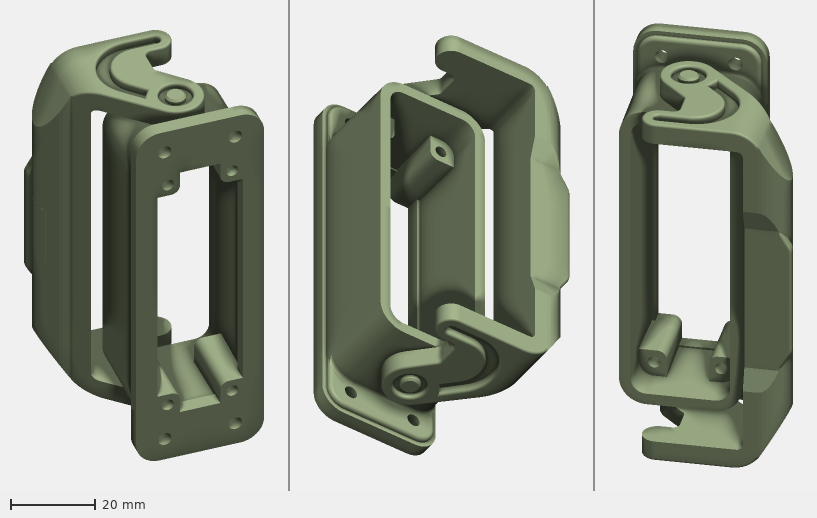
import cadquery as cq
import math


length = 98.0
back = 42.8
flange_width = 32.3
flange_thickness = 3.7
flange_corner = 6.0
step_height = 1.4
step_inset = 1.2
step_edge_round = 1.0

mouth = 16.1
mouth_half_width = 14.9
mouth_half_length = 39.7
foot_half_width = 15.1
foot_half_length = 39.9
shell_corner = 6.7
foot_round = 0.8

wall = 2.8
cavity_corner = 3.7
cavity_taper = 0.5
opening_half_width = 10.8
opening_half_length = 35.9
opening_corner = 2.0

post_front = 24.8
post_y = 8.1
post_z = 32.9
post_inner_y = 5.1
post_inner_z = 29.8
post_corner = 2.3
post_hole = 3.0

mount_hole = 3.4
mount_y = 8.9
mount_z = 42.9

pivot_x = 25.8
hinge_radius = 6.9
washer_radius = 3.7
pin_radius = 2.5
pin_chamfer = 0.5

arm_outer = 45.7
arm_inner = 40.5
arm_edge_round = 0.6
hook_radius = 3.8
hook_y = 2.9
notch_y = -1.3
notch_round = 1.6
slant = math.radians(46.5)

grip_radius = 7.0
grip_y = -22.05
grip_facets = 22
grip_inner_y = -18.4
neck_x = 14.6
bend_y = -15.6
bend_radius = 8.0
bend_inner_radius = 1.6
bevel = math.radians(31)

scoop_depth = 1.9
scoop_half_length = 18.9
scoop_end_half_length = 24.4
tab_thickness = 2.7
tab_tip_y = -29.8
tab_tip_half_length = 14.1
tab_corner = 2.9
tab_edge_round = 0.7

pad_half_length = 7.5
pad_end_x = 11.3

counterbore_radius = 4.1
counterbore_depth = 1.5
channel_depth = 2.2
channel_half_width = 1.3
channel_x = 12.7
channel_bend = 8.8
channel_outer_y = -4.6
channel_inner_y = -3.8
channel_top_y = 2.7
channel_outer_tail = 6.3
channel_inner_tail = 5.0
recess_edge_round = 0.7

diagonal = math.sqrt(0.5)
flange_front = back - flange_thickness
step_front = flange_front - step_height
pad_start_x = scoop_depth + tab_thickness
tolerance = 0.01


def rounded_plate(x_start, x_end, half_width, half_length, corner):
    """Plate between two X places with rounded corners, centred on the X axis."""
    return (
        cq.Workplane("YZ", origin=(x_start, 0, 0))
        .rect(2 * half_width, 2 * half_length)
        .extrude(x_end - x_start)
        .edges("|X")
        .fillet(corner)
    )


def tapered_block(mouth_size, foot_size, corner):
    """Rounded block from the mouth to the flange; each size is a half width and a half length."""

    def section(size, depth):
        sketch = cq.Sketch().rect(2 * size[0], 2 * size[1]).vertices().fillet(corner)
        return sketch.moved(cq.Location(cq.Vector(0, 0, depth)))

    return (
        cq.Workplane("YZ", origin=(mouth, 0, 0))
        .placeSketch(section(mouth_size, 0), section(foot_size, flange_front - mouth))
        .loft()
    )


def make_shell():
    return tapered_block(
        (mouth_half_width, mouth_half_length), (foot_half_width, foot_half_length), shell_corner
    )


def make_cavity():
    half_width = mouth_half_width - wall
    half_length = mouth_half_length - wall
    return tapered_block(
        (half_width, half_length), (half_width - cavity_taper, half_length - cavity_taper), cavity_corner
    )


def make_stepped_shell():
    """Shell on the step, with a fillet at its foot and a rounded rim on the step."""
    shell = make_shell()
    step = rounded_plate(
        step_front, flange_front,
        flange_width / 2 - step_inset, length / 2 - step_inset, flange_corner - step_inset,
    )
    reach_z = foot_half_length + tolerance
    foot_edges = cq.selectors.BoxSelector(
        (step_front - tolerance, -flange_width, -reach_z),
        (step_front + tolerance, flange_width, reach_z),
        boundingbox=True,
    )
    body = step.union(shell).edges(foot_edges).fillet(foot_round)
    rim_waste = step.cut(step.faces("<X").edges().fillet(step_edge_round)).cut(shell)
    return body.cut(rim_waste)


def four_corners(y, z):
    return [(sign_y * y, sign_z * z) for sign_y in (-1, 1) for sign_z in (-1, 1)]


def make_posts():
    """Four screw posts that fill the cavity corners and have one rounded free edge each."""
    outer_y = mouth_half_width - wall
    outer_z = mouth_half_length - wall
    reach_y = post_inner_y + tolerance
    reach_z = post_inner_z + tolerance
    free_edges = cq.selectors.BoxSelector((0, -reach_y, -reach_z), (length, reach_y, reach_z))
    return (
        cq.Workplane("YZ", origin=(post_front, 0, 0))
        .pushPoints(four_corners((post_inner_y + outer_y) / 2, (post_inner_z + outer_z) / 2))
        .rect(outer_y - post_inner_y, outer_z - post_inner_z)
        .extrude(back - post_front)
        .edges("|X")
        .edges(free_edges)
        .fillet(post_corner)
    )


def corner_holes(y, z, diameter):
    return (
        cq.Workplane("YZ", origin=(mouth, 0, 0))
        .pushPoints(four_corners(y, z))
        .circle(diameter / 2)
        .extrude(back - mouth)
    )


def make_pivot():
    """Washer face and chamfered hinge pin on the +Z end of the shell."""
    root = mouth_half_length - wall / 2
    base = cq.Workplane("XY", origin=(pivot_x, 0, root))
    washer = base.circle(washer_radius).extrude(arm_inner - root)
    pin = base.circle(pin_radius).extrude(arm_outer - root).faces(">Z").chamfer(pin_chamfer)
    return washer.union(pin)


def make_housing():
    flange = rounded_plate(flange_front, back, flange_width / 2, length / 2, flange_corner)
    opening = rounded_plate(mouth, back, opening_half_width, opening_half_length, opening_corner)
    pivot = make_pivot()
    return (
        make_stepped_shell()
        .union(flange)
        .cut(make_cavity())
        .cut(opening)
        .union(make_posts())
        .cut(corner_holes(post_y, post_z, post_hole))
        .cut(corner_holes(mount_y, mount_z, mount_hole))
        .union(pivot)
        .union(pivot.mirror("XY"))
    )


def grip_vertex(index):
    """Vertex of the faceted half circle, counted from the +X side."""
    angle = math.pi * index / grip_facets
    return (grip_radius * (1 + math.cos(angle)), grip_y - grip_radius * math.sin(angle))


def make_side_profile():
    """Outline seen along Z: hook, notch, hinge eye, slanted edge and faceted grip."""
    eye = hinge_radius * diagonal
    hook_right = 2 * hook_radius
    notch_end_x = pivot_x - 2 * eye + notch_y
    slant_x = pivot_x + hinge_radius * math.sin(slant)
    slant_y = -hinge_radius * math.cos(slant)
    notch_corners = cq.selectors.BoxSelector(
        (hook_right - tolerance, notch_y - tolerance, -length),
        (notch_end_x + tolerance, notch_y + tolerance, length),
    )
    return (
        cq.Workplane("XY", origin=(0, 0, -arm_outer))
        .moveTo(0, grip_y)
        .lineTo(0, hook_y)
        .threePointArc((hook_radius, hook_y + hook_radius), (hook_right, hook_y))
        .lineTo(hook_right, notch_y)
        .lineTo(notch_end_x, notch_y)
        .lineTo(pivot_x - eye, eye)
        .threePointArc((pivot_x + eye, eye), (slant_x, slant_y))
        .lineTo(neck_x, slant_y - (slant_x - neck_x) * math.tan(slant))
        .polyline([grip_vertex(index) for index in range(grip_facets)], includeCurrent=True)
        .close()
        .extrude(2 * arm_outer)
        .edges("|Z")
        .edges(notch_corners)
        .fillet(notch_round)
    )


def make_bail_profile():
    """Outline seen along X: two arms joined by the grip, with bent and bevelled outer corners."""

    def bend_point(angle):
        return (bend_y - bend_radius * math.cos(angle), arm_outer - bend_radius * (1 - math.sin(angle)))

    grip_bottom = grip_y - grip_radius
    bevel_start = bend_point(bevel)
    bevel_end_z = bevel_start[1] - (bevel_start[0] - grip_bottom) / math.tan(bevel)
    half = (
        cq.Workplane("YZ")
        .moveTo(hinge_radius, 0)
        .lineTo(hinge_radius, arm_outer)
        .lineTo(bend_y, arm_outer)
        .threePointArc(bend_point((math.pi / 2 + bevel) / 2), bevel_start)
        .lineTo(grip_bottom, bevel_end_z)
        .lineTo(grip_bottom, 0)
        .close()
        .extrude(back)
    )
    window = (
        cq.Workplane("YZ")
        .rect(-2 * grip_inner_y, 2 * arm_inner)
        .extrude(back)
        .edges("|X and <Y")
        .fillet(bend_inner_radius)
    )
    return half.union(half.mirror("XY")).cut(window)


def make_bail():
    """Bare lever, with the outer edges of the arms rounded as far as the grip."""
    blank = make_side_profile().intersect(make_bail_profile())
    arm_zone = (
        cq.Workplane("XY", origin=(0, grip_y, -arm_outer))
        .box(back, length, 2 * arm_outer, centered=False)
    )
    arms = blank.intersect(arm_zone)
    for side in (">Z", "<Z"):
        outline = arms.faces(side).edges("not(|X and <Y)").vals()
        arms = arms.newObject(outline).fillet(arm_edge_round)
    return arms.union(blank.cut(arm_zone))


def make_scoop():
    return (
        cq.Workplane("XZ", origin=(0, grip_inner_y, 0))
        .polyline([
            (0, -scoop_end_half_length),
            (scoop_depth, -scoop_half_length),
            (scoop_depth, scoop_half_length),
            (0, scoop_end_half_length),
        ])
        .close()
        .extrude(grip_inner_y - tab_tip_y)
    )


def make_tab():
    root_half_length = tab_tip_half_length + (grip_y - tab_tip_y) / math.tan(bevel)
    return (
        cq.Workplane("YZ", origin=(scoop_depth, 0, 0))
        .polyline([
            (grip_y, -root_half_length),
            (tab_tip_y, -tab_tip_half_length),
            (tab_tip_y, tab_tip_half_length),
            (grip_y, root_half_length),
        ])
        .close()
        .extrude(tab_thickness)
        .edges("|X and <Y")
        .fillet(tab_corner)
        .edges("|Z and <Y")
        .fillet(tab_edge_round)
    )


def make_pad():
    """Stretch of the grip that is a true cylinder instead of facets."""
    cylinder = (
        cq.Workplane("XY", origin=(grip_radius, grip_y, -pad_half_length))
        .circle(grip_radius)
        .extrude(2 * pad_half_length)
    )
    slab = (
        cq.Workplane("XZ", origin=(0, grip_y, 0))
        .moveTo((pad_start_x + pad_end_x) / 2, 0)
        .rect(pad_end_x - pad_start_x, 2 * pad_half_length)
        .extrude(grip_radius)
    )
    return cylinder.intersect(slab)


def make_channel():
    """J-shaped channel in the +Z arm face, with a slightly skewed end at its tail."""

    def bend_point(radius, center_y, degrees):
        angle = math.radians(degrees)
        return (channel_x + radius * math.cos(angle), center_y + radius * math.sin(angle))

    tail_start = -45
    bend_middle = (-180 + tail_start) / 2
    outer = channel_bend + channel_half_width
    inner = channel_bend - channel_half_width
    leg_top = (channel_x - channel_bend, channel_top_y + channel_half_width)
    outer_end = bend_point(outer, channel_outer_y, tail_start)
    inner_end = bend_point(inner, channel_inner_y, tail_start)
    outer_tail = channel_outer_tail * diagonal
    inner_tail = channel_inner_tail * diagonal
    return (
        cq.Workplane("XY", origin=(0, 0, arm_outer - channel_depth))
        .moveTo(channel_x - inner, channel_top_y)
        .threePointArc(leg_top, (channel_x - outer, channel_top_y))
        .lineTo(channel_x - outer, channel_outer_y)
        .threePointArc(bend_point(outer, channel_outer_y, bend_middle), outer_end)
        .lineTo(outer_end[0] + outer_tail, outer_end[1] + outer_tail)
        .lineTo(inner_end[0] + inner_tail, inner_end[1] + inner_tail)
        .lineTo(*inner_end)
        .threePointArc(bend_point(inner, channel_inner_y, bend_middle), (channel_x - inner, channel_inner_y))
        .close()
        .extrude(channel_depth)
    )


def make_recesses():
    """Channel and counterbore of the +Z arm."""
    counterbore = (
        cq.Workplane("XY", origin=(pivot_x, 0, arm_outer - counterbore_depth))
        .circle(counterbore_radius)
        .extrude(counterbore_depth)
    )
    return make_channel().union(counterbore)


def round_recess_rims(lever, side):
    """Round the edges where the recesses open on one arm face."""
    rims = [edge for wire in lever.faces(side).val().innerWires() for edge in wire.Edges()]
    return lever.newObject(rims).fillet(recess_edge_round)


def make_lever():
    pin_hole = cq.Workplane("XY").center(pivot_x, 0).circle(pin_radius).extrude(arm_outer, both=True)
    recesses = make_recesses()
    lever = (
        make_bail()
        .cut(make_scoop())
        .union(make_tab())
        .union(make_pad())
        .cut(pin_hole)
        .cut(recesses)
        .cut(recesses.mirror("XY"))
    )
    for side in (">Z", "<Z"):
        lever = round_recess_rims(lever, side)
    return lever


housing = make_housing().solids()
lever = make_lever().solids()
result = cq.Compound.makeCompound([housing.val(), lever.val()])